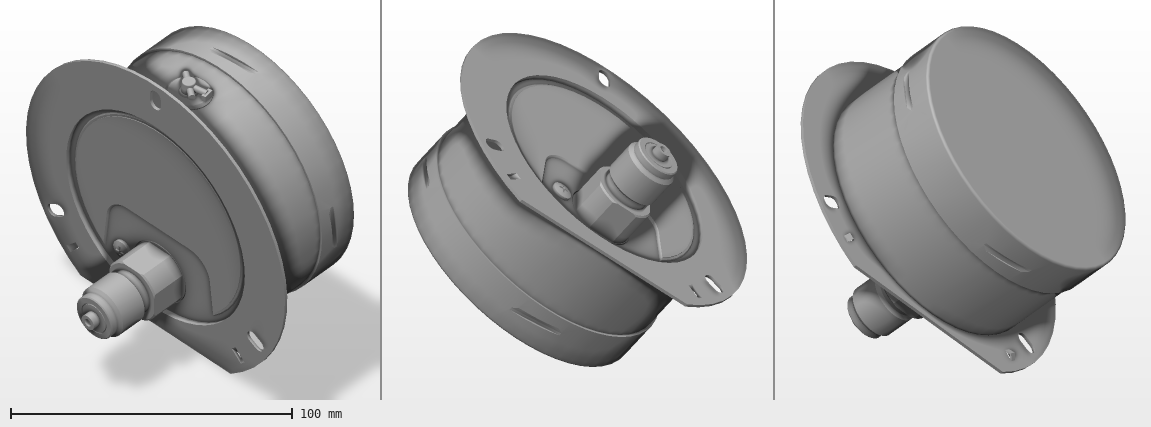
import cadquery as cq
import math


case_d = 98.4
case_back_y = 0.4
case_back_fillet = 2.2
bezel_d = 100.4
bezel_back_y = 33.1
bezel_front_y = 50.0
bezel_front_fillet = 1.0

recess_d = 88.0
recess_floor_y = 2.2
panel_d = 83.4
panel_height = 0.8
panel_crown_d = 80.7
panel_crown_height = 0.3
panel_taper = 45.0
notch_top_z = -7.2
notch_foot_half_width = 26.4
notch_side_angle = 6.2
notch_corner_r = 9.5

grip_count = 4
grip_chord = 20.8
grip_tilt = 5.5
grip_y = 39.7
grip_floor_width = 1.1
grip_slope_width = 1.5
grip_slope_rise = 0.4

flange_d = 127.6
flange_t = 1.2
flange_flat_z = -51.96
slot_count = 3
slot_width = 5.2
slot_length = 8.6
slot_pitch_r = 56.7
lance_pitch_r = 57.5
lance_angles = (225.0, 315.0)
lance_width = 2.6
lance_front_length = 6.3
lance_front_depth = 2.0
lance_back_length = 4.6
lance_back_height = 1.5

stem_z = -27.8
stem_tip_y = -34.69
wrench_width = 22.0
wrench_corner_d = 24.3
wrench_end_y = -12.1
wrench_chamfer = 0.6
neck_d = 17.5
neck_end_y = -15.0
thread_d = 20.2
thread_start_y = -16.1
thread_end_y = -27.1
pilot_start_y = -28.5
pilot_end_y = -31.5
pilot_chamfer = 0.4
nipple_d = 6.0
bore_d = 3.2
face_groove_outer_d = 12.3
face_groove_inner_d = 11.5
face_groove_depth = 0.5
collar_d = 25.0
collar_gap_d = 25.8
collar_depth = 2.0
collar_seat_depth = 6.0

screw_x = -18.0
screw_z = -28.1
screw_head_d = 7.6
screw_head_h = 2.1
screw_edge_h = 1.2
screw_shank_d = 4.0
screw_shank_l = 6.0
screw_cross_l = 4.0
screw_cross_w = 0.9
screw_cross_depth = 0.7

valve_y = 17.1
washer_d = 17.5
washer_top_d = 15.3
washer_top_z = 49.8
washer_seat_z = 48.2
washer_rim_z = 48.9
pin_foot_d = 7.6
pin_neck_d = 6.6
pin_base_d = 5.8
pin_top_d = 5.0
pin_foot_top_z = 50.4
pin_top_z = 54.75
pin_top_fillet = 0.4
lever_z = 52.5
lever_d = 2.5
lever_bar_reach = 6.4
lever_bar_angle = -36.0
lever_tab_angle = 10.0
lever_tab_reach = 8.6
lever_tab_width = 4.4
lever_tab_t = 1.8
lever_tab_drop = 0.8


def disc(diameter, y_front, y_back, x=0.0, z=0.0):
    """Cylinder along Y from y_front up to y_back."""
    plane = cq.Workplane("XZ", origin=(x, y_front, z))
    return plane.circle(diameter / 2).extrude(y_front - y_back)


def about_y(body, angle):
    """Turn a body from the +X direction towards +Z by an angle in degrees."""
    return body.rotate((0, 0, 0), (0, 1, 0), -angle)


def blow_out_panel():
    """Raised tapered panel: a disc with a round-cornered notch above the stem."""
    side_rise = notch_top_z + math.sqrt((panel_d / 2) ** 2 - notch_foot_half_width ** 2)
    lean = math.tan(math.radians(notch_side_angle))
    top_half_width = notch_foot_half_width - side_rise * lean
    bottom_z = -panel_d
    bottom_half_width = top_half_width + (notch_top_z - bottom_z) * lean
    straight_notch = (
        cq.Workplane("XZ", origin=(0, recess_floor_y, 0))
        .polyline([
            (-bottom_half_width, bottom_z),
            (-top_half_width, notch_top_z),
            (top_half_width, notch_top_z),
            (bottom_half_width, bottom_z),
        ])
        .close()
        .extrude(panel_height)
        .edges("|Y and >Z")
        .fillet(notch_corner_r)
    )
    notch_outline = straight_notch.faces(">Y").wires().val()
    notch = (
        cq.Workplane("XZ", origin=(0, recess_floor_y, 0))
        .add(notch_outline)
        .toPending()
        .extrude(panel_height, taper=-panel_taper)
    )
    ledge_y = recess_floor_y - panel_height + panel_crown_height
    ledge_d = panel_d - 2 * (recess_floor_y - ledge_y)
    foot = cq.Workplane(cq.Solid.makeCone(
        panel_d / 2, ledge_d / 2, recess_floor_y - ledge_y, cq.Vector(0, recess_floor_y, 0), cq.Vector(0, -1, 0)
    ))
    crown = disc(panel_crown_d, recess_floor_y - panel_height, recess_floor_y)
    return foot.union(crown).cut(notch)


def build_stem():
    """Rounded square, neck, thread, pilot and bored nipple, on a collar seated in the case back."""
    seat_y = recess_floor_y + collar_seat_depth
    shaft_start_y = wrench_end_y
    outline = [
        (0, shaft_start_y),
        (neck_d / 2, shaft_start_y),
        (neck_d / 2, neck_end_y),
        (thread_d / 2, thread_start_y),
        (thread_d / 2, thread_end_y),
        (neck_d / 2, pilot_start_y),
        (neck_d / 2, pilot_end_y + pilot_chamfer),
        (neck_d / 2 - pilot_chamfer, pilot_end_y),
        (nipple_d / 2, pilot_end_y),
        (nipple_d / 2, stem_tip_y),
        (0, stem_tip_y),
    ]
    shaft = cq.Workplane("XY").polyline(outline).close().revolve(360, (0, 0, 0), (0, 1, 0))
    wrench = (
        cq.Workplane("XZ", origin=(0, recess_floor_y, 0))
        .rect(wrench_width, wrench_width)
        .extrude(recess_floor_y - wrench_end_y)
    )
    turned = disc(wrench_corner_d, wrench_end_y, recess_floor_y)
    turned = turned.faces("<Y").chamfer(wrench_chamfer)
    collar = disc(collar_d, recess_floor_y, seat_y)
    groove = disc(face_groove_outer_d, pilot_end_y, pilot_end_y + face_groove_depth).cut(
        disc(face_groove_inner_d, pilot_end_y, pilot_end_y + face_groove_depth)
    )
    bore = disc(bore_d, stem_tip_y, wrench_end_y)
    stem = wrench.intersect(turned).union(shaft).union(collar).cut(groove).cut(bore)
    return stem.translate((0, 0, stem_z))


def build_screw():
    """Domed head with a cross recess, and a plain shank."""
    head_y = recess_floor_y - screw_head_h
    edge_y = recess_floor_y - screw_edge_h
    dome_rise = screw_head_h - screw_edge_h
    dome_mid_r = screw_head_d / 4
    shoulder_y = head_y + dome_rise * 0.25
    shank_end_y = recess_floor_y + screw_shank_l
    screw = (
        cq.Workplane("XY")
        .moveTo(0, head_y)
        .threePointArc((dome_mid_r, shoulder_y), (screw_head_d / 2, edge_y))
        .lineTo(screw_head_d / 2, recess_floor_y)
        .lineTo(screw_shank_d / 2, recess_floor_y)
        .lineTo(screw_shank_d / 2, shank_end_y)
        .lineTo(0, shank_end_y)
        .close()
        .revolve(360, (0, 0, 0), (0, 1, 0))
    )
    face = cq.Workplane("XZ", origin=(0, head_y, 0))
    for length_x, length_z in ((screw_cross_l, screw_cross_w), (screw_cross_w, screw_cross_l)):
        screw = screw.cut(face.rect(length_x, length_z).extrude(-screw_cross_depth))
    return screw.translate((screw_x, 0, screw_z))


def turned_about_valve(radius_height_pairs):
    """Body of revolution about the vertical valve axis."""
    body = cq.Workplane("XZ").polyline(radius_height_pairs).close().revolve(360, (0, 0, 0), (0, 1, 0))
    return body.translate((0, valve_y, 0))


def build_pin():
    """Tapered vent pin standing on a conical foot."""
    pin = turned_about_valve([
        (0, washer_seat_z),
        (pin_foot_d / 2, washer_seat_z),
        (pin_foot_d / 2, washer_top_z),
        (pin_neck_d / 2, pin_foot_top_z),
        (pin_base_d / 2, pin_foot_top_z),
        (pin_top_d / 2, pin_top_z),
        (0, pin_top_z),
    ])
    return pin.faces(">Z").edges().fillet(pin_top_fillet)


def build_washer():
    """Round washer with a sloped rim, let into the case wall."""
    washer = turned_about_valve([
        (0, washer_seat_z),
        (washer_d / 2, washer_seat_z),
        (washer_d / 2, washer_rim_z),
        (washer_top_d / 2, washer_top_z),
        (0, washer_top_z),
    ])
    hole = cq.Workplane("XY", origin=(0, valve_y, washer_seat_z)).circle(pin_foot_d / 2)
    return washer.cut(hole.extrude(washer_top_z - washer_seat_z))


def build_lever():
    """Round crossbar through the pin, with a side arm that carries a flat tab."""
    bar = cq.Workplane("YZ").circle(lever_d / 2).extrude(lever_bar_reach, both=True)
    bar = bar.rotate((0, 0, 0), (0, 0, 1), lever_bar_angle)
    arm = cq.Workplane("YZ").circle(lever_d / 2).extrude(lever_tab_reach - lever_tab_t / 2)
    tab = cq.Workplane("XY").box(lever_tab_t, lever_tab_width, lever_d)
    tab = tab.translate((lever_tab_reach - lever_tab_t / 2, 0, -lever_tab_drop))
    tab_arm = arm.union(tab).rotate((0, 0, 0), (0, 0, 1), lever_tab_angle)
    return bar.union(tab_arm).translate((0, valve_y, lever_z))


def build_case():
    """Solid case with a filleted back edge and the recessed back with its panel."""
    case = disc(case_d, case_back_y, bezel_back_y).faces("<Y").edges().fillet(case_back_fillet)
    case = case.cut(disc(recess_d, case_back_y, recess_floor_y)).union(blow_out_panel())
    return case


def seat_stem_in(case):
    """Cut the stem collar seat and the narrow gap round its rim."""
    seat_y = recess_floor_y + collar_seat_depth
    case = case.cut(disc(collar_gap_d, recess_floor_y, recess_floor_y + collar_depth, z=stem_z))
    return case.cut(disc(collar_d, recess_floor_y, seat_y, z=stem_z))


def build_bezel():
    """Solid bezel cap with four slanted grip notches."""
    bezel = disc(bezel_d, bezel_back_y, bezel_front_y).faces(">Y").edges().fillet(bezel_front_fillet)
    floor_z = math.sqrt((bezel_d / 2) ** 2 - (grip_chord / 2) ** 2)
    depth = bezel_d / 2 - floor_z
    run_out = 2.0
    section = [
        (grip_floor_width, floor_z),
        (grip_floor_width, floor_z + run_out * depth),
        (-grip_slope_width, floor_z + run_out * depth),
        (-grip_slope_width, floor_z + grip_slope_rise),
        (0, floor_z),
    ]
    cutter = cq.Workplane("YZ").polyline(section).close().extrude(grip_chord, both=True)
    cutter = cutter.rotate((0, 0, 0), (0, 0, 1), grip_tilt).translate((0, grip_y, 0))
    for index in range(grip_count):
        bezel = bezel.cut(about_y(cutter, index * 360 / grip_count))
    return bezel


def vee_prism(length, height, base_y):
    """Triangular prism with its base along X at base_y and its ridge towards +Y."""
    vee = cq.Workplane("XY").polyline([(-length / 2, base_y), (length / 2, base_y), (0, base_y + height)])
    return vee.close().extrude(lance_width / 2, both=True)


def build_flange(case):
    """Round plate with a flat foot, three radial slots and two pressed V-shaped lances."""
    flange = disc(flange_d, 0, flange_t)
    below_flat = cq.Workplane("XY").box(flange_d, flange_d, flange_d)
    flange = flange.cut(below_flat.translate((0, 0, flange_flat_z - flange_d / 2)))
    flange = flange.cut(disc(recess_d, 0, flange_t)).cut(case)
    slot = cq.Workplane("XZ").slot2D(slot_length, slot_width).extrude(-flange_t)
    slot = slot.translate((slot_pitch_r, 0, 0))
    for index in range(slot_count):
        flange = flange.cut(about_y(slot, 90 + index * 360 / slot_count))
    bulge = vee_prism(lance_back_length, lance_back_height, flange_t).translate((lance_pitch_r, 0, 0))
    dent = vee_prism(lance_front_length, lance_front_depth, 0).translate((lance_pitch_r, 0, 0))
    for angle in lance_angles:
        flange = flange.union(about_y(bulge, angle)).cut(about_y(dent, angle))
    return flange


stem = build_stem()
screw = build_screw()
lever = build_lever()
pin = build_pin().cut(lever)
washer = build_washer()
bezel = build_bezel()
case = build_case()
flange = build_flange(case)
case = seat_stem_in(case).cut(screw).cut(washer).cut(pin)

result = cq.Compound.makeCompound([
    body.val() for body in (case, bezel, flange, stem, screw, washer, pin, lever)
])